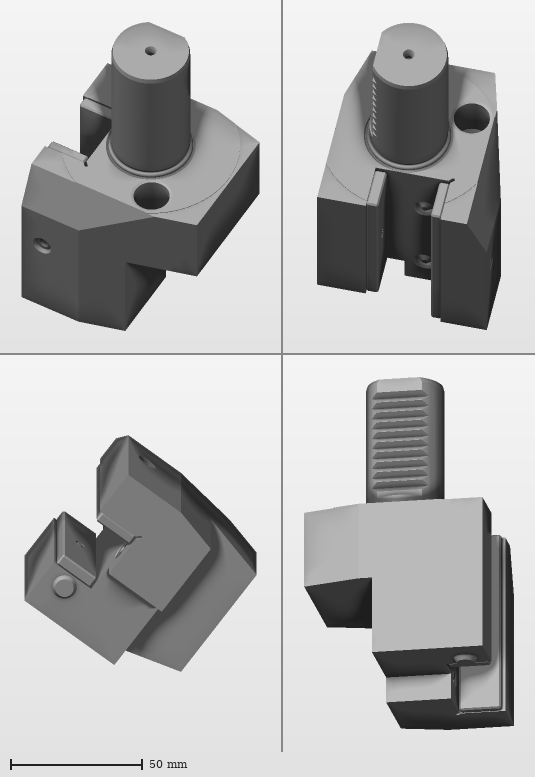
import cadquery as cq
import math


LEFT, RIGHT = -35.0, 35.0
FRONT, BACK = -38.0, 28.0
BOTTOM = -70.0
SIDE_TAPER = math.tan(math.radians(15))
FRONT_TAPER_X = -10.0
BACK_TAPER_X = 13.0
BEVEL_HEIGHT, BEVEL_DEPTH = 17.0, 7.9
COLUMN_X = 7.8
HEAD_BOTTOM = -30.0
BACK_LEG_Y, BACK_LEG_BOTTOM = -2.1, -60.0
SEAT_RADIUS, SEAT_STEP = 34.0, 0.2

SLOT_WALL_X = -17.2
SLOT_FRONT, SLOT_BACK = -20.0, 9.1
RELIEF_RADIUS, RELIEF_REACH = 0.6, 0.9

STRIP_LEFT, STRIP_RIGHT = -34.0, -18.0
BACK_STRIP_THICKNESS, FRONT_STRIP_THICKNESS = 4.6, 4.0
STRIP_CHAMFER = 0.6

SHANK_RADIUS, SHANK_TOP = 15.0, 55.0
TIP_HEIGHT, TIP_INSET = 1.8, 0.5
FLAT_Y, FLAT_BOTTOM = 12.2, 7.2
NOTCH_COUNT, NOTCH_PITCH = 10, 4.0
NOTCH_DEPTH, NOTCH_WIDTH = 2.1, 3.9
LOWEST_NOTCH = 11.9
CENTRE_RADIUS, CENTRE_DEPTH = 2.2, 2.1
PILOT_RADIUS, PILOT_DEPTH = 1.0, 3.8

RING_SECTION = 1.0
NECK_RADIUS = 14.1
FOOT_Z, FOOT_HEIGHT, FOOT_INSET = 1.6, 0.9, 0.4
RING_Z = 0.4
RING_RADIUS = NECK_RADIUS + RING_SECTION
GROOVE_RADIUS = 16.6
GROOVE_BOTTOM = RING_Z - RING_SECTION
GROOVE_CHAMFER = 0.5

INLET_X, INLET_Y = 12.8, -21.8
INLET_RADIUS, INLET_DEPTH = 6.9, 17.5
INLET_MOUTH_RADIUS, INLET_MOUTH_DEPTH = 7.9, 0.2
DRILL_HALF_ANGLE = math.radians(59)

SCREW_Y = -10.0
SCREW_HEIGHTS = (-22.0, -58.0)
SCREW_HOLE_RADIUS, SCREW_MOUTH = 3.6, 0.9
SCREW_TIP_RADIUS = 1.1

STRIP_SCREW_X = (STRIP_LEFT + STRIP_RIGHT) / 2
SOCKET_Z = -35.0
STRIP_PIN_Z = -30.0
SOCKET_RECESS_RADIUS, SOCKET_RECESS_DEPTH, SOCKET_MOUTH = 3.2, 1.6, 0.8
SOCKET_RADIUS, SOCKET_FLOOR_RADIUS, SOCKET_DEPTH = 2.1, 1.1, 0.8
STRIP_HOLE_RADIUS, STRIP_PIN_RADIUS, STRIP_RING_DEPTH = 2.1, 1.4, 0.6

NOZZLE_X, NOZZLE_Y = STRIP_SCREW_X, 14.5
NOZZLE_RADIUS, NOZZLE_END_RADIUS, NOZZLE_HEIGHT = 4.6, 3.5, 1.8


def box(x0, x1, y0, y1, z0, z1):
    return cq.Workplane("XY").box(x1 - x0, y1 - y0, z1 - z0, centered=False).translate((x0, y0, z0))


def turned(points):
    """Revolve a profile of (radius, height) points about the Z axis."""
    return cq.Workplane("XZ").polyline(points).close().revolve(360, (0, 0), (0, 1))


def facing_left(shape, x, y, z):
    """Turn a shape made along +Z to run along +X from the given point."""
    return shape.rotate((0, 0, 0), (0, 1, 0), 90).translate((x, y, z))


def facing_front(shape, x, y, z):
    """Turn a shape made along +Z to run along +Y from the given point."""
    return shape.rotate((0, 0, 0), (1, 0, 0), -90).translate((x, y, z))


def make_block():
    right_front = FRONT + (RIGHT - FRONT_TAPER_X) * SIDE_TAPER
    right_back = BACK - (RIGHT - BACK_TAPER_X) * SIDE_TAPER
    block = (
        cq.Workplane("XY").workplane(offset=BOTTOM)
        .moveTo(LEFT, FRONT).lineTo(FRONT_TAPER_X, FRONT).lineTo(RIGHT, right_front)
        .lineTo(RIGHT, right_back).lineTo(BACK_TAPER_X, BACK).lineTo(LEFT, BACK).close()
        .extrude(-BOTTOM)
    )
    bevel = (
        cq.Workplane("YZ").workplane(offset=LEFT)
        .moveTo(FRONT, -BEVEL_HEIGHT).lineTo(FRONT + BEVEL_DEPTH, 0).lineTo(FRONT, 0).close()
        .extrude(RIGHT - LEFT)
    )
    below_head = box(COLUMN_X, RIGHT, FRONT, BACK, BOTTOM, HEAD_BOTTOM)
    below_back_leg = box(LEFT, COLUMN_X, BACK_LEG_Y, BACK, BOTTOM, BACK_LEG_BOTTOM)
    around_seat = box(LEFT, RIGHT, FRONT, BACK, -SEAT_STEP, 0).cut(
        cq.Workplane("XY").circle(SEAT_RADIUS).extrude(-SEAT_STEP)
    )
    return block.cut(bevel).cut(below_head).cut(below_back_leg).cut(around_seat)


def make_slot():
    slot = box(LEFT, SLOT_WALL_X, SLOT_FRONT, SLOT_BACK, BOTTOM, 0)
    reach = RELIEF_REACH * math.sqrt(2)
    relief = (
        cq.Workplane("XY").workplane(offset=BOTTOM)
        .slot2D(2 * (reach + RELIEF_RADIUS), 2 * RELIEF_RADIUS, -45).extrude(-BOTTOM)
        .translate((SLOT_WALL_X, SLOT_FRONT, 0))
    )
    return slot.union(relief)


def make_strip(y0, y1, bottom):
    return box(STRIP_LEFT, STRIP_RIGHT, y0, y1, bottom, -SEAT_STEP).edges().chamfer(STRIP_CHAMFER)


def make_shank():
    shank = turned([
        (0, GROOVE_BOTTOM),
        (NECK_RADIUS, GROOVE_BOTTOM),
        (NECK_RADIUS, FOOT_Z),
        (SHANK_RADIUS - FOOT_INSET, FOOT_Z),
        (SHANK_RADIUS, FOOT_Z + FOOT_HEIGHT),
        (SHANK_RADIUS, SHANK_TOP - TIP_HEIGHT),
        (SHANK_RADIUS - TIP_INSET, SHANK_TOP),
        (0, SHANK_TOP),
    ])
    shank = shank.cut(box(-SHANK_RADIUS, SHANK_RADIUS, FLAT_Y, SHANK_RADIUS, FLAT_BOTTOM, SHANK_TOP))
    for i in range(NOTCH_COUNT):
        z = LOWEST_NOTCH + i * NOTCH_PITCH
        notch = (
            cq.Workplane("YZ").workplane(offset=-SHANK_RADIUS)
            .moveTo(FLAT_Y - NOTCH_DEPTH, z)
            .lineTo(FLAT_Y, z - NOTCH_WIDTH / 2).lineTo(FLAT_Y, z + NOTCH_WIDTH / 2).close()
            .extrude(2 * SHANK_RADIUS)
        )
        shank = shank.cut(notch)
    centre_hole = turned([
        (0, SHANK_TOP),
        (CENTRE_RADIUS, SHANK_TOP),
        (PILOT_RADIUS, SHANK_TOP - CENTRE_DEPTH),
        (PILOT_RADIUS, SHANK_TOP - PILOT_DEPTH),
        (0, SHANK_TOP - PILOT_DEPTH),
    ])
    return shank.cut(centre_hole)


def make_ring_groove():
    return turned([
        (NECK_RADIUS, GROOVE_BOTTOM),
        (GROOVE_RADIUS, GROOVE_BOTTOM),
        (GROOVE_RADIUS, -GROOVE_CHAMFER),
        (GROOVE_RADIUS + GROOVE_CHAMFER, 0),
        (NECK_RADIUS, 0),
    ])


def make_coolant_inlet():
    inlet = turned([
        (0, 0),
        (INLET_MOUTH_RADIUS, 0),
        (INLET_RADIUS, -INLET_MOUTH_DEPTH),
        (INLET_RADIUS, -INLET_DEPTH),
        (0, -INLET_DEPTH - INLET_RADIUS / math.tan(DRILL_HALF_ANGLE)),
    ])
    return inlet.translate((INLET_X, INLET_Y, 0))


def make_screw_recess(z):
    """Chamfered hole in the slot wall around a 90 degree screw tip that ends flush."""
    depth = SCREW_HOLE_RADIUS - SCREW_TIP_RADIUS
    recess = turned([
        (SCREW_TIP_RADIUS, 0),
        (SCREW_HOLE_RADIUS + SCREW_MOUTH, 0),
        (SCREW_HOLE_RADIUS, SCREW_MOUTH),
        (SCREW_HOLE_RADIUS, depth),
    ])
    return facing_left(recess, SLOT_WALL_X, SCREW_Y, z)


def make_socket_recess():
    recess = turned([
        (0, 0),
        (SOCKET_RECESS_RADIUS + SOCKET_MOUTH, 0),
        (SOCKET_RECESS_RADIUS, SOCKET_MOUTH),
        (SOCKET_RECESS_RADIUS, SOCKET_RECESS_DEPTH),
        (SOCKET_RADIUS, SOCKET_RECESS_DEPTH),
        (SOCKET_FLOOR_RADIUS, SOCKET_RECESS_DEPTH + SOCKET_DEPTH),
        (0, SOCKET_RECESS_DEPTH + SOCKET_DEPTH),
    ])
    return facing_front(recess, STRIP_SCREW_X, FRONT, SOCKET_Z)


def make_strip_ring():
    ring = cq.Workplane("XY").circle(STRIP_HOLE_RADIUS).circle(STRIP_PIN_RADIUS).extrude(STRIP_RING_DEPTH)
    return facing_front(ring, STRIP_SCREW_X, SLOT_BACK - BACK_STRIP_THICKNESS, STRIP_PIN_Z)


def make_nozzle():
    nozzle = turned([
        (0, 0),
        (NOZZLE_RADIUS, 0),
        (NOZZLE_END_RADIUS, -NOZZLE_HEIGHT),
        (0, -NOZZLE_HEIGHT),
    ])
    return nozzle.translate((NOZZLE_X, NOZZLE_Y, BACK_LEG_BOTTOM))


def make_housing():
    body = make_block().cut(make_slot()).cut(make_ring_groove()).cut(make_coolant_inlet())
    for z in SCREW_HEIGHTS:
        body = body.cut(make_screw_recess(z))
    body = body.cut(make_socket_recess())
    back_strip = make_strip(SLOT_BACK - BACK_STRIP_THICKNESS, SLOT_BACK, BACK_LEG_BOTTOM)
    front_strip = make_strip(SLOT_FRONT, SLOT_FRONT + FRONT_STRIP_THICKNESS, BOTTOM)
    body = body.union(back_strip.cut(make_strip_ring())).union(front_strip)
    return body.union(make_shank()).union(make_nozzle()).solids()


def make_sealing_ring():
    return (
        cq.Workplane("XZ").center(RING_RADIUS, RING_Z).circle(RING_SECTION)
        .revolve(360, (-RING_RADIUS, 0), (-RING_RADIUS, 1))
    )


housing = make_housing()
sealing_ring = make_sealing_ring()

result = cq.Compound.makeCompound([housing.val(), sealing_ring.val()])